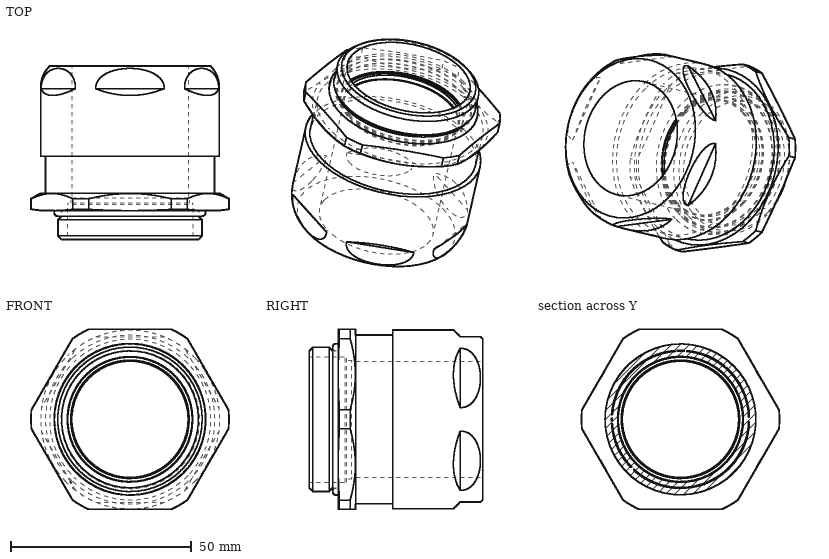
import cadquery as cq
import math

total_length = 48.1

thread_diameter = 40.0
thread_root_diameter = 37.88
thread_chamfer = (thread_diameter - thread_root_diameter) / 2
relief_start_y = 5.55
relief_end_y = 6.5

seal_outer_diameter = 42.0
seal_section_radius = 1.0
seal_center_y = 7.5

flange_start_y = 8.05
flange_end_y = 12.9
hex_side_count = 6
hex_across_flats = 49.9
hex_corner_diameter = 54.87
flange_face_diameter = 49.55
flange_seat_chamfer = 0.36
flange_back_chamfer_angle = math.radians(30)

collar_diameter = 46.85
cap_start_y = 23.1
cap_diameter = 49.55
dome_start_y = 42.2
dome_end_diameter = 44.6
dome_radius = 8.5

flat_count = 6
flat_across = 45.8
flat_start_y = 41.8

mouth_bore_diameter = 34.75
mouth_bore_end_y = 9.8
inner_bore_diameter = 34.45
inner_bore_end_y = 10.3
neck_bore_diameter = 32.8
neck_bore_end_y = 11.6
through_bore_diameter = 32.2


def disc(diameter, start_y, end_y):
    """Cylinder on the Y axis between two stations."""
    workplane = cq.Workplane("XZ", origin=(0, start_y, 0))
    return workplane.circle(diameter / 2).extrude(start_y - end_y)


def revolve_profile(profile):
    """Revolve a closed radius/station profile about the Y axis."""
    return profile.close().revolve(360, (0, 0, 0), (0, 1, 0))


def make_spigot():
    """Thread envelope with a lead chamfer and a tapered runout into the relief groove."""
    profile = (
        cq.Workplane("XY")
        .moveTo(0, 0)
        .lineTo(thread_root_diameter / 2, 0)
        .lineTo(thread_diameter / 2, thread_chamfer)
        .lineTo(thread_diameter / 2, relief_start_y)
        .lineTo(thread_root_diameter / 2, relief_end_y)
        .lineTo(thread_root_diameter / 2, flange_start_y)
        .lineTo(0, flange_start_y)
    )
    return revolve_profile(profile)


def make_seal():
    """Round-section sealing ring, pressed into the flange face."""
    center_radius = seal_outer_diameter / 2 - seal_section_radius
    section = cq.Workplane("XY").center(-center_radius, seal_center_y).circle(seal_section_radius)
    return section.revolve(360, (center_radius, 0, 0), (center_radius, 1, 0))


def make_flange():
    """Hexagon with its corners turned down and both faces chamfered."""
    thickness = flange_end_y - flange_start_y
    across_corners = hex_across_flats / math.cos(math.pi / hex_side_count)
    hexagon = (
        cq.Workplane("XZ", origin=(0, flange_start_y, 0))
        .polygon(hex_side_count, across_corners)
        .extrude(-thickness)
    )
    face_radius = flange_face_diameter / 2
    corner_radius = hex_corner_diameter / 2
    back_chamfer = (corner_radius - face_radius) * math.tan(flange_back_chamfer_angle)
    envelope = revolve_profile(
        cq.Workplane("XY")
        .moveTo(0, flange_start_y)
        .lineTo(face_radius, flange_start_y)
        .lineTo(corner_radius, flange_start_y + flange_seat_chamfer)
        .lineTo(corner_radius, flange_end_y - back_chamfer)
        .lineTo(face_radius, flange_end_y)
        .lineTo(0, flange_end_y)
    )
    return hexagon.intersect(envelope)


def make_cap():
    """Cylindrical cap whose far end closes in along an arc."""
    profile = (
        cq.Workplane("XY")
        .moveTo(0, cap_start_y)
        .lineTo(cap_diameter / 2, cap_start_y)
        .lineTo(cap_diameter / 2, dome_start_y)
        .radiusArc((dome_end_diameter / 2, total_length), -dome_radius)
        .lineTo(0, total_length)
    )
    return revolve_profile(profile)


def cut_wrench_flats(body):
    """Cut flats into the dome, each running out through a 45 degree slope."""
    slope_reach = cap_diameter - flat_across
    flat_radius = flat_across / 2
    outer_radius = flat_radius + slope_reach
    cutter = (
        cq.Workplane("YZ", origin=(-cap_diameter / 2, 0, 0))
        .moveTo(flat_start_y, flat_radius)
        .lineTo(flat_start_y - slope_reach, outer_radius)
        .lineTo(total_length, outer_radius)
        .lineTo(total_length, flat_radius)
        .close()
        .extrude(cap_diameter)
    )
    for index in range(flat_count):
        angle = index * 360 / flat_count
        body = body.cut(cutter.rotate((0, 0, 0), (0, 1, 0), angle))
    return body


def cut_bore(body):
    """Bore the part right through, narrowing in steps from the threaded end."""
    body = body.cut(disc(mouth_bore_diameter, 0, mouth_bore_end_y))
    body = body.cut(disc(inner_bore_diameter, 0, inner_bore_end_y))
    body = body.cut(disc(neck_bore_diameter, 0, neck_bore_end_y))
    return body.cut(disc(through_bore_diameter, 0, total_length))


collar = disc(collar_diameter, flange_end_y, cap_start_y)
cap = cut_wrench_flats(make_cap())
solid_body = make_spigot().union(make_seal()).union(make_flange()).union(collar).union(cap)
result = cut_bore(solid_body)